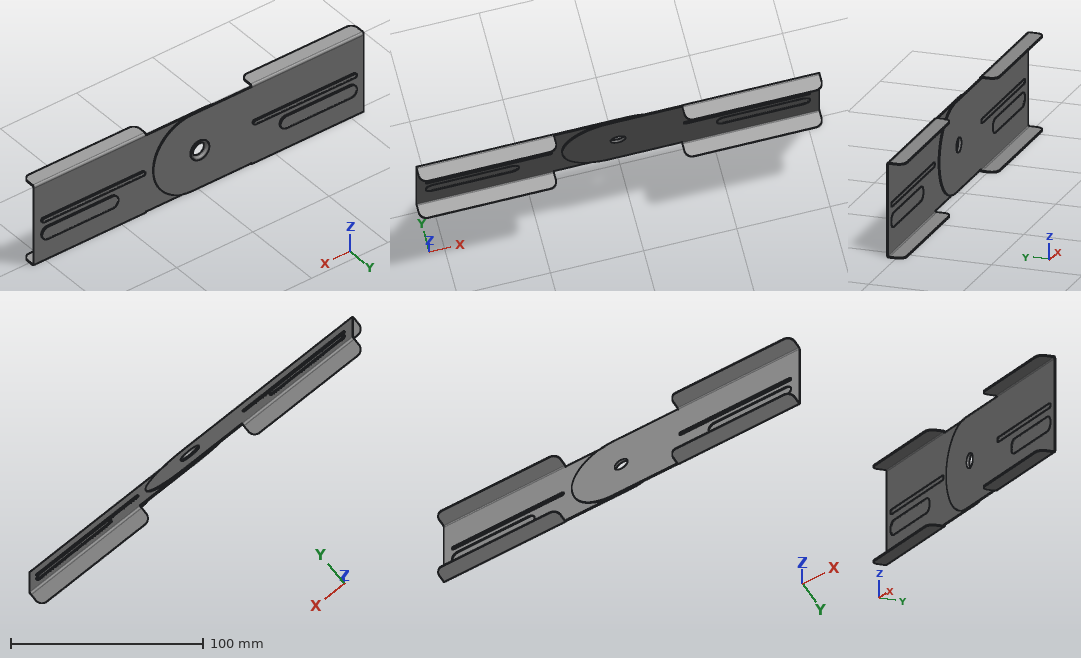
import cadquery as cq

length = 216.0
height = 52.5
depth = 11.0

sheet = 0.75
bend_outer = 1.3
bend_inner = bend_outer - sheet
web_height = height - 2 * bend_outer

bore_diameter = 8.0
collar_diameter = bore_diameter + 2 * sheet
lip_diameter = 12.0

flange_length = 73.7
flange_depth = depth - 2 * sheet
flange_corner = 4.0

tip_reach = 30.0
tip_radius = web_height / 2

bead_height = 0.6
recess_depth = 0.2
bead_inset = 5.0
narrow_length = 67.8
narrow_width = 2.5
narrow_z = 1.0
wide_length = 50.1
wide_width = 8.0
wide_z = -8.2


def disc(diameter, back, thickness):
    """Disc on the pivot axis, extending forward (-Y) from its back face."""
    return cq.Workplane("XZ", origin=(0, back, 0)).circle(diameter / 2).extrude(thickness)


def web(back):
    """Flat web of a left-hand plate, with a semicircular end around the pivot."""
    tip_center = tip_reach - tip_radius
    return (
        cq.Workplane("XZ", origin=(0, back, 0))
        .moveTo(-length / 2, -web_height / 2)
        .lineTo(tip_center, -web_height / 2)
        .threePointArc((tip_reach, 0), (tip_center, web_height / 2))
        .lineTo(-length / 2, web_height / 2)
        .close()
        .extrude(sheet)
    )


def bent_block(block_depth, block_height, bend_radius, front):
    """Block as long as the flanges, with its two rear edges rounded."""
    return (
        cq.Workplane("XY", origin=(-length / 2, front, 0))
        .box(flange_length, block_depth, block_height, centered=(False, False, True))
        .edges("|X and >Y")
        .fillet(bend_radius)
    )


def flanged_channel(back):
    """U-shaped length of bent sheet with rounded flange corners."""
    front = back - flange_depth
    outer = bent_block(flange_depth, height, bend_outer, front)
    inner = bent_block(flange_depth - sheet, height - 2 * sheet, bend_inner, front)
    return outer.cut(inner).edges("|Z and <Y").fillet(flange_corner)


def bead_bar(bead_length, bead_width, z, back, thickness):
    """Round-ended bar with a bead's outline, extending forward from its back face."""
    x = -length / 2 + bead_inset + bead_length / 2
    return (
        cq.Workplane("XZ", origin=(x, back, z))
        .slot2D(bead_length, bead_width)
        .extrude(thickness)
    )


def make_plate(back):
    """Left-hand plate without its pivot features; back is the Y of its rear face."""
    plate = web(back).union(flanged_channel(back))
    front = back - sheet
    beads = (
        (narrow_length, narrow_width, narrow_z),
        (wide_length, wide_width, wide_z),
    )
    for bead_length, bead_width, z in beads:
        raised = bead_bar(bead_length, bead_width, z, back + bead_height, bead_height)
        recess = bead_bar(bead_length, bead_width, z, front + recess_depth, recess_depth)
        plate = plate.union(raised).cut(recess)
    return plate


def pivot_hole():
    """Solid filling the rear plate's pivot hole, whose back edge is rounded."""
    hole_edge = collar_diameter / 2
    return (
        cq.Workplane("XY")
        .moveTo(0, -sheet)
        .lineTo(hole_edge, -sheet)
        .lineTo(hole_edge, -bend_inner)
        .radiusArc((hole_edge + bend_inner, 0), bend_inner)
        .lineTo(0, 0)
        .close()
        .revolve(360, (0, 0), (0, 1))
    )


def make_collar():
    """Collar that fills the pivot hole, with its rolled lip behind the rear plate."""
    return pivot_hole().union(disc(lip_diameter, sheet, sheet))


def bore():
    """Through bore, flared at the back by the bend of the rolled lip."""
    bore_edge = bore_diameter / 2
    return (
        cq.Workplane("XY")
        .moveTo(0, -2 * sheet)
        .lineTo(bore_edge, -2 * sheet)
        .lineTo(bore_edge, sheet - bend_outer)
        .radiusArc((bore_edge + bend_outer, sheet), bend_outer)
        .lineTo(0, sheet)
        .close()
        .revolve(360, (0, 0), (0, 1))
    )


def make_rear_plate():
    """Left plate, with a hole that fits around the collar."""
    return make_plate(0).cut(pivot_hole())


def make_front_plate():
    """Right plate, mirrored from the left, with the collar that joins the two."""
    return make_plate(-sheet).mirror("YZ").union(make_collar()).cut(bore())


rear_plate = make_rear_plate()
front_plate = make_front_plate()

result = cq.Compound.makeCompound([rear_plate.val(), front_plate.val()])